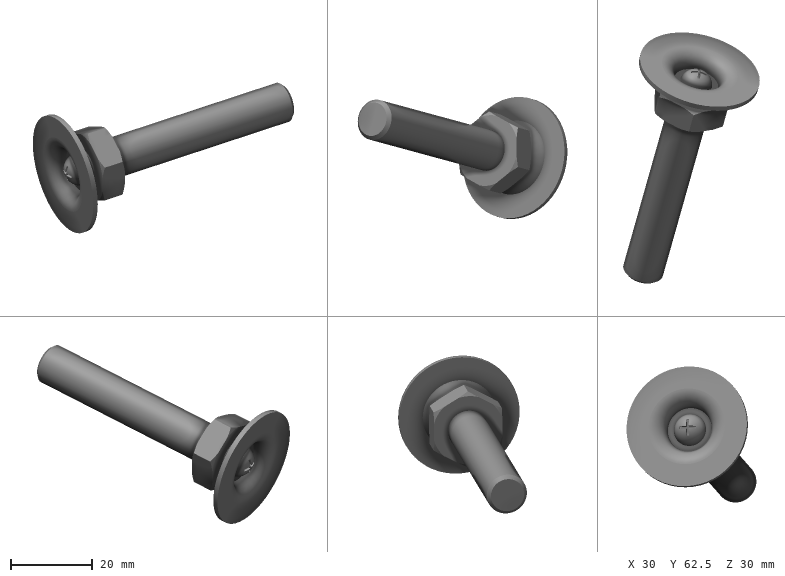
import cadquery as cq
import math

total_length = 62.5

plate_diameter = 30.0
plate_thickness = 1.25
cone_base_diameter = 18.25
cone_top_diameter = 9.5
cone_top = 6.0

floor_diameter = 11.0
flare_radius = 4.0
dome_diameter = 8.0
dome_height = 3.25
cross_length = 4.0
cross_width = 0.6
cross_depth = 1.0

nut_across_flats = 17.0
nut_front = 6.3
nut_height = 6.2
nut_chamfer_angle = 30.0
nut_face_diameter = 17.5

stud_diameter = 10.0
stud_chamfer = 0.9


def turn(profile):
    """Revolve a closed (radius, Y) profile a full turn about the Y axis."""
    return profile.close().revolve(360, (0, 0, 0), (0, 1, 0))


def make_base():
    plate_radius = plate_diameter / 2
    floor_radius = floor_diameter / 2
    mouth_radius = floor_radius + flare_radius
    arc_offset = flare_radius * math.sqrt(0.5)
    arc_middle = (mouth_radius - arc_offset, flare_radius - arc_offset)
    return turn(
        cq.Workplane("XY")
        .moveTo(0, flare_radius)
        .lineTo(floor_radius, flare_radius)
        .threePointArc(arc_middle, (mouth_radius, 0))
        .lineTo(plate_radius, 0)
        .lineTo(plate_radius, plate_thickness)
        .lineTo(cone_base_diameter / 2, plate_thickness)
        .lineTo(cone_top_diameter / 2, cone_top)
        .lineTo(cone_top_diameter / 2, nut_front)
        .lineTo(0, nut_front)
    )


def make_pivot():
    base_radius = dome_diameter / 2
    sphere_radius = (base_radius**2 + dome_height**2) / (2 * dome_height)
    apex_y = flare_radius - dome_height
    half_angle = math.asin(base_radius / sphere_radius) / 2
    arc_middle = (
        sphere_radius * math.sin(half_angle),
        apex_y + sphere_radius * (1 - math.cos(half_angle)),
    )
    dome = turn(
        cq.Workplane("XY")
        .moveTo(0, apex_y)
        .threePointArc(arc_middle, (base_radius, flare_radius))
        .lineTo(0, flare_radius)
    )
    for size_x, size_z in ((cross_length, cross_width), (cross_width, cross_length)):
        slot = cq.Workplane("XY", origin=(0, apex_y, 0)).box(size_x, 2 * cross_depth, size_z)
        dome = dome.cut(slot)
    return dome


def make_nut():
    corner_diameter = nut_across_flats / math.cos(math.radians(30))
    nut_back = nut_front + nut_height
    hexagon = (
        cq.Workplane("XZ", origin=(0, nut_front, 0))
        .polygon(6, corner_diameter)
        .extrude(-nut_height)
        .rotate((0, 0, 0), (0, 1, 0), 30)
    )
    face_radius = nut_face_diameter / 2
    corner_radius = corner_diameter / 2
    chamfer = (corner_radius - face_radius) * math.tan(math.radians(nut_chamfer_angle))
    envelope = turn(
        cq.Workplane("XY")
        .moveTo(0, nut_front)
        .lineTo(face_radius, nut_front)
        .lineTo(corner_radius, nut_front + chamfer)
        .lineTo(corner_radius, nut_back - chamfer)
        .lineTo(face_radius, nut_back)
        .lineTo(0, nut_back)
    )
    return hexagon.intersect(envelope)


def make_stud():
    return (
        cq.Workplane("XZ", origin=(0, nut_front, 0))
        .circle(stud_diameter / 2)
        .extrude(nut_front - total_length)
        .faces(">Y")
        .chamfer(stud_chamfer)
    )


result = make_base().union(make_pivot()).union(make_nut()).union(make_stud())